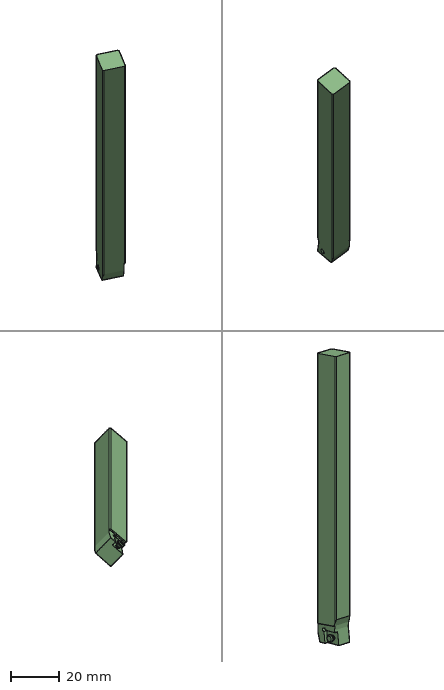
import cadquery as cq
import math

length = 124.6
shank_width = 10.0
edge_chamfer = 0.5

tip_x = 0.4
neck_top_x = 1.0
neck_bottom_x = 1.1
neck_bottom_z = 6.7
neck_top_z = 8.6
left_relief_z = 11.6
right_relief_z = 4.7
heel_x = 9.0
heel_z = 0.6
land_y = 9.3

seat_floor_y = 7.5
seat_inscribed_radius = 3.0
seat_corner_angle = 80.0
seat_tilt = math.degrees(math.atan2(heel_z, heel_x - tip_x))
seat_relief_radius = 0.7

screw_x = 3.5
screw_z = 3.0
screw_radius = 1.0
screw_end_y = 1.2
screw_head_radius = 1.6
screw_head_bottom_y = 9.1
screw_cone_bottom_y = 8.0
screw_socket_radius = 0.6
screw_socket_depth = 1.2
screw_top_y = 10.1
screw_head_chamfer = 0.5


def along_y(x, z, y):
    """Workplane at height y whose extrusion runs towards +Y; local Y is -Z."""
    return cq.Workplane("XZ", origin=(x, y, z)).transformed(rotate=(180, 0, 0))


def make_shank():
    """Square bar with chamfered long edges, trimmed to the head outline."""
    bar = (
        cq.Workplane("XY")
        .box(shank_width, shank_width, length, centered=False)
        .edges("|Z")
        .chamfer(edge_chamfer)
    )
    outline = [
        (tip_x, 0),
        (heel_x, heel_z),
        (shank_width, right_relief_z),
        (shank_width, length),
        (0, length),
        (0, left_relief_z),
        (neck_top_x, neck_top_z),
        (neck_bottom_x, neck_bottom_z),
    ]
    profile = cq.Workplane("XZ").polyline(outline).close().extrude(-shank_width)
    return bar.intersect(profile)


def cut_land(body):
    """Lower the +Y face of the head below the neck."""
    land = cq.Workplane("XY", origin=(0, land_y, 0)).box(
        shank_width, shank_width - land_y, neck_top_z, centered=False
    )
    return body.cut(land)


def cut_seat(body):
    """Cut the rhombic seat and round out its inner corner."""
    diagonal_angle = math.radians(seat_tilt + seat_corner_angle / 2)
    half_angle = math.radians(seat_corner_angle / 2)
    corner_distance = seat_inscribed_radius / math.sin(half_angle)
    side_distance = seat_inscribed_radius / math.cos(half_angle)
    overrun = shank_width

    def from_centre(distance, angle):
        return (distance * math.cos(angle), -distance * math.sin(angle))

    def run_out(point, angle):
        return (point[0] - overrun * math.cos(angle), point[1] + overrun * math.sin(angle))

    corner = from_centre(corner_distance, diagonal_angle)
    left_corner = from_centre(side_distance, diagonal_angle + math.pi / 2)
    bottom_corner = from_centre(side_distance, diagonal_angle - math.pi / 2)
    outer_left = run_out(left_corner, diagonal_angle - half_angle)
    outer_bottom = run_out(bottom_corner, diagonal_angle + half_angle)
    depth = shank_width - seat_floor_y
    plane = along_y(screw_x, screw_z, seat_floor_y)
    seat = (
        plane.polyline([corner, outer_left, (-overrun, overrun), outer_bottom])
        .close()
        .extrude(depth)
    )
    relief = plane.center(*corner).circle(seat_relief_radius).extrude(depth)
    return body.cut(seat).cut(relief)


def cut_screw_hole(body):
    """Through hole that fits the screw shank."""
    hole = along_y(screw_x, screw_z, 0).circle(screw_radius).extrude(shank_width)
    return body.cut(hole)


def make_screw():
    """Screw turned about its axis, with a tapered head, a chamfered rim and an end socket."""
    half_section = [
        (0, screw_end_y + screw_socket_depth),
        (screw_socket_radius, screw_end_y + screw_socket_depth),
        (screw_socket_radius, screw_end_y),
        (screw_radius, screw_end_y),
        (screw_radius, screw_cone_bottom_y),
        (screw_head_radius, screw_head_bottom_y),
        (screw_head_radius, screw_top_y - screw_head_chamfer),
        (screw_head_radius - screw_head_chamfer, screw_top_y),
        (0, screw_top_y),
    ]
    return (
        cq.Workplane("XY", origin=(screw_x, 0, screw_z))
        .polyline(half_section)
        .close()
        .revolve(360, (0, 0, 0), (0, 1, 0))
    )


holder = cut_screw_hole(cut_seat(cut_land(make_shank())))
screw = make_screw()

result = cq.Compound.makeCompound([holder.val(), screw.val()])